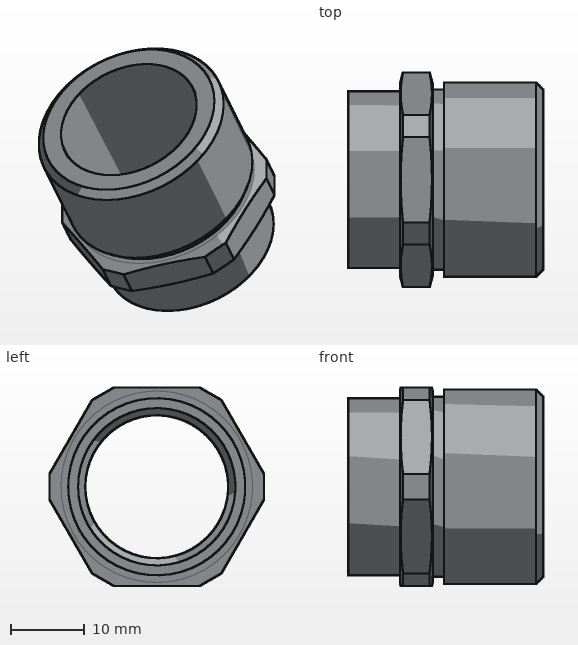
import cadquery as cq
import math


hex_start = 7.0
hex_end = 11.5
collar_start = 12.99
total_length = 26.5

spigot_diameter = 24.05
neck_diameter = 24.5
collar_diameter = 26.45
collar_chamfer = 1.0

across_flats = 27.0
across_cut_corners = 29.18
hex_face_diameter = 26.0
hex_chamfer_angle = 15.0

bore_diameter = 19.38
mouth_chamfer = 1.0


def cylinder(start, end, diameter):
    """Solid cylinder on the X axis between two positions."""
    return cq.Workplane("YZ", origin=(start, 0, 0)).circle(diameter / 2).extrude(end - start)


def hex_prism(flats, first_corner_angle):
    """Hexagonal prism filling the flange length, with one corner at the given angle from +Y."""
    across_corners = flats / math.cos(math.radians(30))
    return (
        cq.Workplane("YZ", origin=(hex_start, 0, 0))
        .transformed(rotate=(0, 0, first_corner_angle))
        .polygon(6, across_corners)
        .extrude(hex_end - hex_start)
    )


def chamfer_envelope():
    """Round body with shallow cones at both ends, wide enough to enclose the hexagon."""
    face_radius = hex_face_diameter / 2
    rim_radius = across_flats / 2 / math.cos(math.radians(30))
    cone_depth = (rim_radius - face_radius) * math.tan(math.radians(hex_chamfer_angle))
    profile = [
        (hex_start, 0),
        (hex_start, face_radius),
        (hex_start + cone_depth, rim_radius),
        (hex_end - cone_depth, rim_radius),
        (hex_end, face_radius),
        (hex_end, 0),
    ]
    return cq.Workplane("XY").polyline(profile).close().revolve(360, (0, 0, 0), (1, 0, 0))


def hex_flange():
    """Hexagon with flats on +Z and -Z, its corners cut flat and its end faces chamfered."""
    main_hexagon = hex_prism(across_flats, 0)
    corner_cutter = hex_prism(across_cut_corners, 30)
    return main_hexagon.intersect(corner_cutter).intersect(chamfer_envelope())


def collar():
    """Threaded-end collar with a chamfered outer edge at the far end."""
    body = cylinder(collar_start, total_length, collar_diameter)
    return body.faces(">X").edges().chamfer(collar_chamfer)


def bore():
    """Through bore with a conical lead-in at the spigot mouth."""
    bore_radius = bore_diameter / 2
    profile = [
        (0, 0),
        (0, bore_radius + mouth_chamfer),
        (mouth_chamfer, bore_radius),
        (total_length, bore_radius),
        (total_length, 0),
    ]
    return cq.Workplane("XY").polyline(profile).close().revolve(360, (0, 0, 0), (1, 0, 0))


spigot = cylinder(0, hex_start, spigot_diameter)
neck = cylinder(hex_end, collar_start, neck_diameter)

result = spigot.union(hex_flange()).union(neck).union(collar()).cut(bore())